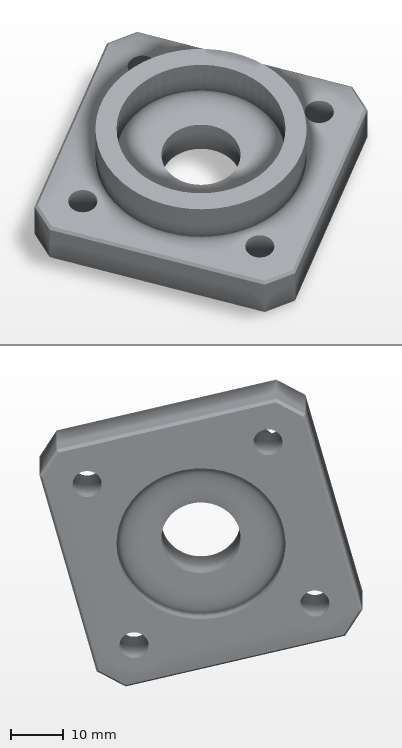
import cadquery as cq

flange_side = 52.0
flange_height = 9.0
corner_cut = 4.5
edge_chamfer = 0.5

total_height = 17.0
boss_diameter = 40.0
seat_diameter = 32.0

mount_hole_diameter = 5.5
mount_hole_spacing = 35.35

bearing_bore = 15.0
bearing_width = 7.0
bearing_recess = 7.5
bearing_top = total_height - bearing_recess
bearing_bottom = bearing_top - bearing_width


def make_housing():
    """Square flange with a round boss, bored right through to seat the bearing."""
    flange = (
        cq.Workplane("XY")
        .rect(flange_side, flange_side)
        .extrude(flange_height)
        .edges("|Z")
        .chamfer(corner_cut)
        .faces("<Z or >Z")
        .edges()
        .chamfer(edge_chamfer)
    )
    boss = cq.Workplane("XY").circle(boss_diameter / 2).extrude(total_height)
    seat = cq.Workplane("XY").circle(seat_diameter / 2).extrude(total_height)
    mount_holes = (
        cq.Workplane("XY")
        .rect(mount_hole_spacing, mount_hole_spacing, forConstruction=True)
        .vertices()
        .circle(mount_hole_diameter / 2)
        .extrude(flange_height)
    )
    return flange.union(boss).cut(seat).cut(mount_holes)


def make_bearing():
    """Plain ring that fills the seat between its lower and upper faces."""
    return (
        cq.Workplane("XY")
        .workplane(offset=bearing_bottom)
        .circle(seat_diameter / 2)
        .circle(bearing_bore / 2)
        .extrude(bearing_width)
    )


housing = make_housing()
bearing = make_bearing()
result = cq.Compound.makeCompound([housing.val(), bearing.val()])